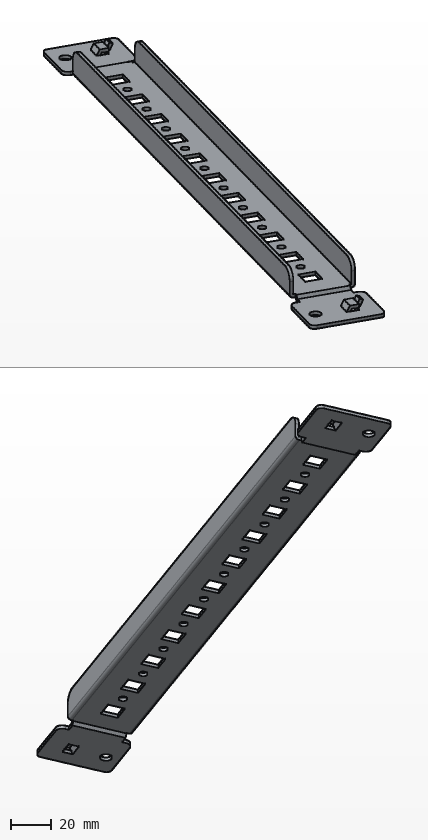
import cadquery as cq
import math

length = 350.0
plate_width = 40.0
height = 17.0
sheet = 2.0

channel_length = 281.5
channel_width = 35.0
flange_corner = 6.0

neck_width = 28.7
joggle_start = 143.0
joggle_run = 1.0
joggle_angle = math.atan2(sheet, joggle_run)
joggle_offset = sheet * math.tan(joggle_angle / 2)

plate_inner_end = 146.3
plate_outer_corner = 2.8
plate_inner_corner = 3.5
plate_feature_x = 162.5
plate_hole_y = -12.5
plate_hole_diameter = 6.0

square_count = 11
square_row_length = 250.0
square_side = 9.0
small_hole_diameter = 4.2
square_pitch = square_row_length / (square_count - 1)

hook_width = 7.7
hook_root_y = 2.5
hook_ramp = 1.8
hook_flat_end_y = 9.0
hook_lift = 3.0
tip_width = 4.5
tip_length = 2.28
tip_angle = 65.0


def make_channel():
    """U channel whose web rests one sheet thickness above the underside of the plates."""
    outer = (
        cq.Workplane("XY")
        .box(channel_length, channel_width, height - sheet, centered=(True, True, False))
        .edges("|X and <Z")
        .fillet(sheet)
    )
    trough = cq.Workplane("XY").workplane(offset=sheet).box(
        channel_length, channel_width - 2 * sheet, height, centered=(True, True, False)
    )
    channel = outer.cut(trough).edges("|Y and >Z").fillet(flange_corner)
    return channel.translate((0, 0, sheet))


def make_neck():
    """Sheet strip that steps up from the right end plate to the channel web."""
    bend_end = joggle_start - joggle_run
    inner_end = channel_length / 2 - sheet
    profile = [
        (plate_inner_end, 0),
        (joggle_start - joggle_offset, 0),
        (bend_end - joggle_offset, sheet),
        (inner_end, sheet),
        (inner_end, 2 * sheet),
        (bend_end, 2 * sheet),
        (joggle_start, sheet),
        (plate_inner_end, sheet),
    ]
    return cq.Workplane("XZ").polyline(profile).close().extrude(neck_width / 2, both=True)


def make_plate():
    """Right end plate with rounded corners, a round hole and the opening left by the hook."""
    plate_length = length / 2 - plate_inner_end
    opening_length = hook_flat_end_y - hook_root_y
    return (
        cq.Workplane("XY")
        .box(plate_length, plate_width, sheet, centered=(True, True, False))
        .edges("|Z and >X")
        .fillet(plate_outer_corner)
        .edges("|Z and <X")
        .fillet(plate_inner_corner)
        .translate((plate_inner_end + plate_length / 2, 0, 0))
        .faces(">Z")
        .workplane(origin=(plate_feature_x, 0, sheet))
        .pushPoints([(0, plate_hole_y)])
        .hole(plate_hole_diameter)
        .faces(">Z")
        .workplane(origin=(plate_feature_x, hook_root_y + opening_length / 2, sheet))
        .rect(hook_width, opening_length)
        .cutThruAll()
    )


def extrude_across_x(profile, width):
    """Extrude a closed (y, z) profile symmetrically about the hook centre line."""
    solid = cq.Workplane("YZ").polyline(profile).close().extrude(width / 2, both=True)
    return solid.translate((plate_feature_x, 0, 0))


def make_hook():
    """Raised tongue rooted in the plate, with a narrower upturned tip at its free end."""
    top = sheet + hook_lift
    bottom = hook_lift
    ramp_angle = math.atan2(hook_lift, hook_ramp)
    ramp_offset = sheet * math.tan(ramp_angle / 2)
    tongue = extrude_across_x(
        [
            (hook_root_y - sheet, 0),
            (hook_root_y + ramp_offset, 0),
            (hook_root_y + hook_ramp + ramp_offset, bottom),
            (hook_flat_end_y, bottom),
            (hook_flat_end_y, top),
            (hook_root_y + hook_ramp, top),
            (hook_root_y, sheet),
            (hook_root_y - sheet, sheet),
        ],
        hook_width,
    )
    angle = math.radians(tip_angle)
    rise_y = tip_length * math.cos(angle)
    rise_z = tip_length * math.sin(angle)
    bend_offset = sheet * math.tan(angle / 2)
    normal_y = sheet * math.sin(angle)
    normal_z = sheet * math.cos(angle)
    tip = extrude_across_x(
        [
            (hook_flat_end_y - sheet, bottom),
            (hook_flat_end_y + bend_offset, bottom),
            (hook_flat_end_y + rise_y + normal_y, top + rise_z - normal_z),
            (hook_flat_end_y + rise_y, top + rise_z),
            (hook_flat_end_y, top),
            (hook_flat_end_y - sheet, top),
        ],
        tip_width,
    )
    return tongue.union(tip)


def perforate_web(body):
    """Row of square holes with a small round hole midway between neighbours."""
    squares = (
        cq.Workplane("XY")
        .rarray(square_pitch, 3.5, square_count, 1)
        .rect(square_side, square_side)
        .extrude(height)
    )
    round_holes = (
        cq.Workplane("XY")
        .rarray(square_pitch, 3.5, square_count - 1, 1)
        .circle(small_hole_diameter / 2)
        .extrude(height)
    )
    return body.cut(squares).cut(round_holes)


right_end = make_plate().union(make_neck()).union(make_hook())
left_end = right_end.mirror("YZ")
result = perforate_web(make_channel()).union(right_end).union(left_end)